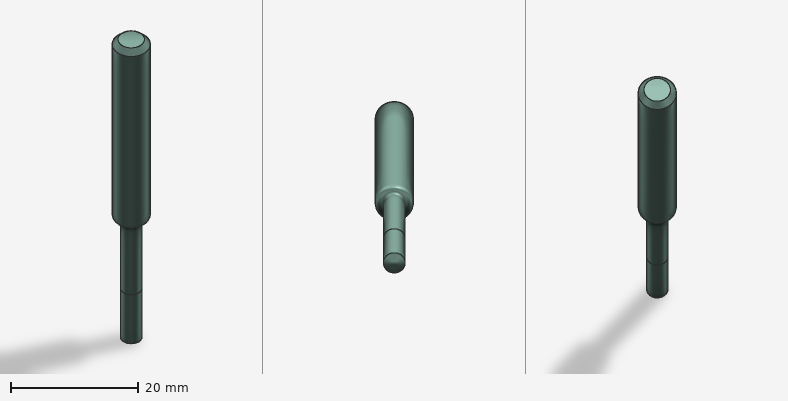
import cadquery as cq
import math

total_length = 62.0
shank_diameter = 6.0
neck_diameter = 3.4
chamfer_height = 1.0
chamfer_width = 0.9
shank_bottom = 26.05
neck_top = 24.35
tip_length = 10.7
point_angle = 140.0

shank_radius = shank_diameter / 2
neck_radius = neck_diameter / 2
point_height = neck_radius / math.tan(math.radians(point_angle / 2))
shoulder_mid = ((shank_radius + neck_radius) / 2, (shank_bottom + neck_top) / 2)


def make_holder():
    """Chamfered shank that runs through an S-shaped shoulder into the neck."""
    return (
        cq.Workplane("XZ")
        .moveTo(0, tip_length)
        .lineTo(neck_radius, tip_length)
        .lineTo(neck_radius, neck_top)
        .tangentArcPoint(shoulder_mid, relative=False)
        .tangentArcPoint((shank_radius, shank_bottom), relative=False)
        .lineTo(shank_radius, total_length - chamfer_height)
        .lineTo(shank_radius - chamfer_width, total_length)
        .lineTo(0, total_length)
        .close()
        .revolve(360, (0, 0), (0, 1))
    )


def make_tip():
    """Cylindrical cutting tip with a conical point, butted against the neck."""
    return (
        cq.Workplane("XZ")
        .moveTo(0, 0)
        .lineTo(neck_radius, point_height)
        .lineTo(neck_radius, tip_length)
        .lineTo(0, tip_length)
        .close()
        .revolve(360, (0, 0), (0, 1))
    )


holder = make_holder()
tip = make_tip()

result = cq.Compound.makeCompound([holder.val(), tip.val()])